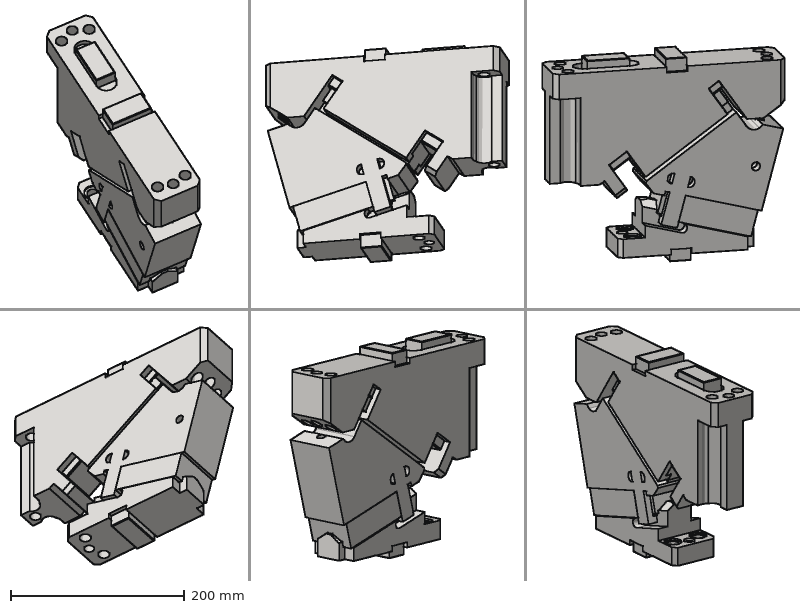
import cadquery as cq
import math

LENGTH = 277.0
WIDTH = 60.0
HALF_WIDTH = WIDTH / 2
TOP_Z = 224.0
PAST = 2.8

SLOPE_ORIGIN = (149.3, 38.5)
SLOPE_ANGLE = -15.0

RAIL_ORIGIN = (110.5, 90.0)
RAIL_ANGLE = 35.0

BOLT_RADIUS = 6.6
BOLT_HEAD_RADIUS = 10.0
BOLT_INSET = 20.0
BOLT_HALF_PITCH = 18.0
DOWEL_RADIUS = 6.5
DOWEL_INSET = 12.2
RIGHT_DOWEL_INSET = 15.5

KEY_LENGTH = 50.5
KEY_WIDTH = 25.0
KEY_HEIGHT = 9.5
KEY_SEAT = 6.5
KEY_CHAMFER = 0.8

HOUSING_FOOT_Z = 89.2
HOUSING_FOOT_RIGHT = 54.3
TAIL_X = 250.0
TAIL_BOTTOM_Z = 156.0
TAIL_END_Z = 174.5
HOUSING_CHAMFER = 6.5
CROSS_KEY_X = 147.0
LONG_KEY_X = 69.5
KEY_POCKET_LENGTH = 77.5
FLANGE_Z = 194.2
WEB_HALF_WIDTH = 11.5
GROOVE_DEPTH = 32.0
GROOVE_BACK_Y = 22.7
LEG_LEFT = -39.0
LEG_RIGHT = -24.0
LEG_BOTTOM = 4.0
LEG_TOP = 31.3
LEG_CHAMFER = (5.5, 4.5)
LOW_SLOT_RIGHT = 2.0
HIGH_SLOT_LEFT = 121.3
HIGH_SLOT_RIGHT = 136.0
HIGH_SLOT_MOUTH = -14.7
SLOT_ROOF = 43.8
BAR_CHAMFER = 1.5
BAR_END_GAP = 1.0

RAIL_END = 130.7
SIDE_GAP = 4.7
NECK_HALF_WIDTH = 15.0
HEAD_HALF_WIDTH = 22.2
HEAD_BOTTOM = 13.5
HEAD_TOP = 31.5
NECK_TOE_HEIGHT = 2.8

SLIDE_RIGHT = 93.3
SLIDE_TOP = 131.9
SLIDE_TOP_LEFT = 68.1
SCOOP_START = -21.0
SCOOP_LOW = (59.5, 123.8)
SCOOP_END = (65.0, 127.1)
NOSE_CORNER = (-2.5, -1.7)
PLATE_LENGTH = 89.0
PLATE_HEIGHT = 32.0
PANEL_RECESS = 0.3
STRAP_LEFT = -20.2
STRAP_RIGHT = -0.5
STRAP_BOTTOM = -7.2
RIB_LEFT = -25.5
RIB_BOTTOM = 3.3
RIB_HALF_WIDTH = 22.2
RIB_TOE = (1.5, 2.5)
BELLY_LEFT = -38.8
BELLY = 27.1
POCKET_CENTER = (-10.5, 48.5)
POCKET_LENGTH = 33.2
POCKET_WIDTH = 12.2
POCKET_DEPTH = 11.0
LIFT_HOLE_S = 72.9
LIFT_HOLE_T = 82.0
LIFT_HOLE_RADIUS = 5.0
LIFT_HOLE_DEPTH = 13.8
DRILL_TIP_ANGLE = 118.0

BASE_LEFT = 77.0
BASE_RIGHT = 231.3
RIDGE_RIGHT = 241.5
BASE_STEP_X = 108.9
BASE_FOOT_Z = 22.5
BASE_TOP_Z = 61.8
BASE_CHAMFER = (5.5, 4.7)
BASE_KEY_X = 152.0
COUNTERBORE_DEPTH = 2.2
BASE_DOWEL_RADIUS = 5.8
DOWEL_RELIEF_DEPTH = 3.0
WAY_GAP = 0.8
RIDGE_HALF_WIDTH = 16.5
RIDGE_TOP = 14.7
RIDGE_FLAT_HALF_WIDTH = 4.0
RIDGE_FLANK_ANGLE = 32.0
NOTCH_FLOOR = -12.0
NOTCH_END = 5.8


def to_world(origin, angle, along, above):
    """World (x, z) of a point given in an inclined frame."""
    a = math.radians(angle)
    x = origin[0] + along * math.cos(a) - above * math.sin(a)
    z = origin[1] + along * math.sin(a) + above * math.cos(a)
    return x, z


def slope(s, t):
    return to_world(SLOPE_ORIGIN, SLOPE_ANGLE, s, t)


def rail(u, v):
    return to_world(RAIL_ORIGIN, RAIL_ANGLE, u, v)


def side_plane(origin=(0, 0), angle=0.0, y=0.0):
    """Plane facing -Y whose local x is turned up by the angle from world X."""
    a = math.radians(angle)
    return cq.Plane((origin[0], y, origin[1]), (math.cos(a), 0, math.sin(a)), (0, -1, 0))


def cross_plane(frame, angle, start, above=0.0):
    """Plane square to an inclined frame: local x is world Y, local y points away from the incline."""
    a = math.radians(angle)
    x, z = frame(start, above)
    return cq.Plane((x, 0, z), (0, 1, 0), (math.cos(a), 0, math.sin(a)))


def slab(points, half_width):
    """Outline in world (x, z), thickened evenly to both sides of y = 0."""
    return cq.Workplane(side_plane()).polyline(points).close().extrude(half_width, both=True)


def frame_box(frame, along, above, half_width):
    """Box between two pairs of limits in an inclined frame, centred on y = 0."""
    low, high = above
    corners = [(along[0], low), (along[1], low), (along[1], high), (along[0], high)]
    return slab([frame(*corner) for corner in corners], half_width)


def both_sides(shape):
    return shape.union(shape.mirror("XZ"))


def outer_layer(shape, inner_half_width):
    """Keeps only the parts of a shape farther than the given distance from y = 0."""
    core = cq.Workplane().box(4 * LENGTH, 2 * inner_half_width, 4 * LENGTH)
    return shape.cut(core)


def round_bar(x, y, radius, z_low, z_high):
    return cq.Workplane("XY", origin=(x, y, z_low)).circle(radius).extrude(z_high - z_low)


def plan_chamfer(x, inward, depths, z_low, z_high):
    """Prisms that bevel both vertical corners of the end face at x."""
    along, across = depths
    y = HALF_WIDTH
    points = [(x, y - across), (x, y), (x + inward * along, y)]
    prism = cq.Workplane("XY", origin=(0, 0, z_low)).polyline(points).close().extrude(z_high - z_low)
    return both_sides(prism)


def drilled_hole(plane, radius, depth):
    """Blind drilled hole with a conical tip, sunk below the plane."""
    tip = radius / math.tan(math.radians(DRILL_TIP_ANGLE / 2))
    profile = [(0, 0), (radius, 0), (radius, -depth), (0, -depth - tip)]
    hole = cq.Workplane("XZ").polyline(profile).close().revolve(360, (0, 0), (0, 1))
    return cq.Workplane(hole.val().moved(cq.Location(plane)))


def key(x, length_x, length_y, z_low, outer_face):
    """Rectangular locating key with its outer edges bevelled."""
    block = cq.Workplane("XY", origin=(x, 0, z_low)).rect(length_x, length_y).extrude(KEY_SEAT + KEY_HEIGHT)
    return block.faces(outer_face).chamfer(KEY_CHAMFER)


def rail_tee(start, end):
    neck = frame_box(rail, (start, end), (0, HEAD_BOTTOM), NECK_HALF_WIDTH)
    head = frame_box(rail, (start, end), (HEAD_BOTTOM, HEAD_TOP), HEAD_HALF_WIDTH)
    return neck.union(head)


def housing_outline():
    outline = [
        (0, TOP_Z),
        (0, HOUSING_FOOT_Z),
        (HOUSING_FOOT_RIGHT, HOUSING_FOOT_Z),
        rail(LEG_LEFT, LEG_TOP),
        rail(LEG_LEFT, LEG_BOTTOM),
        rail(LEG_RIGHT, LEG_BOTTOM),
        rail(LEG_RIGHT, SLOT_ROOF),
        rail(LOW_SLOT_RIGHT, SLOT_ROOF),
        rail(LOW_SLOT_RIGHT, SIDE_GAP),
        rail(HIGH_SLOT_LEFT, SIDE_GAP),
        rail(HIGH_SLOT_LEFT, SLOT_ROOF),
        rail(HIGH_SLOT_RIGHT, SLOT_ROOF),
        rail(HIGH_SLOT_RIGHT, HIGH_SLOT_MOUTH),
        (TAIL_X, TAIL_BOTTOM_Z),
        (LENGTH, TAIL_END_Z),
        (LENGTH, TOP_Z),
    ]
    return slab(outline, HALF_WIDTH)


def slot_bar(start, end):
    """Bar that hangs under the roof of a slot, its lower long edges bevelled."""
    half, bevel = HEAD_HALF_WIDTH, BAR_CHAMFER
    profile = [
        (-half, SLOT_ROOF),
        (-half, HEAD_TOP + bevel),
        (-half + bevel, HEAD_TOP),
        (half - bevel, HEAD_TOP),
        (half, HEAD_TOP + bevel),
        (half, SLOT_ROOF),
    ]
    plane = cross_plane(rail, RAIL_ANGLE, start)
    return cq.Workplane(plane).polyline(profile).close().extrude(end - start)


def bolt_grooves():
    """Open channels under the flange that clear the bolt heads, one on each side of the web."""
    height = FLANGE_Z - HOUSING_FOOT_Z
    floor = cq.Workplane("XY", origin=(0, 0, HOUSING_FOOT_Z))
    outside = HALF_WIDTH + PAST
    head = floor.center(BOLT_INSET, BOLT_HALF_PITCH).circle(BOLT_HEAD_RADIUS).extrude(height)
    back_x = GROOVE_DEPTH - BOLT_HEAD_RADIUS
    back = floor.center(back_x, GROOVE_BACK_Y).circle(BOLT_HEAD_RADIUS).extrude(height)
    flare = floor.box(GROOVE_DEPTH, outside - GROOVE_BACK_Y, height, centered=False)
    flare = flare.translate((0, GROOVE_BACK_Y, 0))
    web_to_bolt = BOLT_HALF_PITCH - WEB_HALF_WIDTH
    mouth_length = BOLT_INSET - math.sqrt(BOLT_HEAD_RADIUS**2 - web_to_bolt**2)
    mouth = floor.box(mouth_length, outside - WEB_HALF_WIDTH, height, centered=False)
    mouth = mouth.translate((0, WEB_HALF_WIDTH, 0))
    return both_sides(mouth.union(head).union(back).union(flare))


def housing_holes():
    holes = cq.Workplane()
    for end, inward, dowel_inset in ((0, 1, DOWEL_INSET), (LENGTH, -1, RIGHT_DOWEL_INSET)):
        holes = holes.add(round_bar(end + inward * dowel_inset, 0, DOWEL_RADIUS, 0, TOP_Z))
        for y in (-BOLT_HALF_PITCH, BOLT_HALF_PITCH):
            holes = holes.add(round_bar(end + inward * BOLT_INSET, y, BOLT_RADIUS, 0, TOP_Z))
    return holes.combine()


def leg_chamfers():
    """Bevels on the two lower end corners of the leg."""
    up, across = LEG_CHAMFER
    plane = cross_plane(rail, RAIL_ANGLE, LEG_LEFT, LEG_BOTTOM)
    points = [(HALF_WIDTH - across, 0), (HALF_WIDTH, 0), (HALF_WIDTH, up)]
    return both_sides(cq.Workplane(plane).polyline(points).close().extrude(LEG_RIGHT - LEG_LEFT))


def make_housing():
    body = housing_outline()
    for x, inward in ((0, 1), (LENGTH, -1)):
        body = body.cut(plan_chamfer(x, inward, (HOUSING_CHAMFER, HOUSING_CHAMFER), 0, TOP_Z))
    body = body.cut(bolt_grooves()).cut(housing_holes()).cut(leg_chamfers())
    body = body.cut(rail_tee(LOW_SLOT_RIGHT - PAST, HIGH_SLOT_LEFT + PAST))
    body = body.union(slot_bar(LEG_RIGHT + BAR_END_GAP, LOW_SLOT_RIGHT))
    body = body.union(slot_bar(HIGH_SLOT_LEFT, HIGH_SLOT_RIGHT))

    seat = cq.Workplane("XY", origin=(0, 0, TOP_Z - KEY_SEAT))
    body = body.cut(seat.center(CROSS_KEY_X, 0).rect(KEY_WIDTH, 4 * HALF_WIDTH).extrude(KEY_SEAT))
    body = body.cut(seat.center(LONG_KEY_X, 0).slot2D(KEY_POCKET_LENGTH, KEY_WIDTH).extrude(KEY_SEAT))
    body = body.union(key(CROSS_KEY_X, KEY_WIDTH, KEY_LENGTH, TOP_Z - KEY_SEAT, ">Z"))
    return body.union(key(LONG_KEY_X, KEY_LENGTH, KEY_WIDTH, TOP_Z - KEY_SEAT, ">Z"))


def slide_outline():
    toe_width, toe_height = RIB_TOE
    sketch = cq.Workplane(side_plane()).moveTo(*rail(0, 0)).lineTo(*rail(RAIL_END, 0))
    sketch = sketch.lineTo(*rail(RAIL_END, SCOOP_START))
    sketch = sketch.threePointArc(slope(*SCOOP_LOW), slope(*SCOOP_END))
    for point in (
        slope(SLIDE_TOP_LEFT, SLIDE_TOP),
        slope(SLIDE_RIGHT, SLIDE_TOP),
        slope(SLIDE_RIGHT, PLATE_HEIGHT),
        slope(PLATE_LENGTH, PLATE_HEIGHT),
        slope(PLATE_LENGTH, 0),
        slope(STRAP_RIGHT, 0),
        slope(STRAP_RIGHT, STRAP_BOTTOM),
        slope(STRAP_LEFT, STRAP_BOTTOM),
        slope(STRAP_LEFT, RIB_BOTTOM - toe_height),
        slope(STRAP_LEFT - toe_width, RIB_BOTTOM - toe_height),
        slope(STRAP_LEFT - toe_width, RIB_BOTTOM),
        slope(RIB_LEFT, RIB_BOTTOM),
        slope(RIB_LEFT, BELLY),
        slope(BELLY_LEFT, BELLY),
        rail(*NOSE_CORNER),
    ):
        sketch = sketch.lineTo(*point)
    return sketch.close().extrude(HALF_WIDTH, both=True)


def ridge(half_width, start, end, bottom):
    """Roof-shaped guide along the slope; a wider one keeps the same sloping flanks."""
    flat = RIDGE_FLAT_HALF_WIDTH
    shoulder = RIDGE_TOP - (half_width - flat) * math.tan(math.radians(RIDGE_FLANK_ANGLE))
    profile = [
        (-half_width, bottom),
        (half_width, bottom),
        (half_width, shoulder),
        (flat, RIDGE_TOP),
        (-flat, RIDGE_TOP),
        (-half_width, shoulder),
    ]
    plane = cross_plane(slope, SLOPE_ANGLE, start)
    return cq.Workplane(plane).polyline(profile).close().extrude(end - start)


def rib_recess():
    """Side recesses left of the straps that leave the narrower rib standing."""
    recess = frame_box(slope, (RIB_LEFT, STRAP_LEFT), (-PAST, PLATE_HEIGHT), 2 * HALF_WIDTH)
    return outer_layer(recess, RIB_HALF_WIDTH)


def strap_pockets():
    """Long round-ended pockets on both sides, bridged flush by the straps."""
    plane = side_plane(slope(*POCKET_CENTER), SLOPE_ANGLE)
    pocket = cq.Workplane(plane).slot2D(POCKET_LENGTH, POCKET_WIDTH).extrude(2 * HALF_WIDTH, both=True)
    strap = frame_box(slope, (STRAP_LEFT, STRAP_RIGHT), (0, SLIDE_TOP), 3 * HALF_WIDTH)
    return outer_layer(pocket.cut(strap), HALF_WIDTH - POCKET_DEPTH)


def lift_holes():
    """Drilled holes in the -Y side and in the upper face of the slide."""
    side = side_plane(slope(LIFT_HOLE_S, LIFT_HOLE_T), SLOPE_ANGLE, -HALF_WIDTH)
    x, z = slope(LIFT_HOLE_S, SLIDE_TOP)
    a = math.radians(SLOPE_ANGLE)
    top = cq.Plane((x, 0, z), (math.cos(a), 0, math.sin(a)), (-math.sin(a), 0, math.cos(a)))
    holes = drilled_hole(side, LIFT_HOLE_RADIUS, LIFT_HOLE_DEPTH)
    return holes.add(drilled_hole(top, LIFT_HOLE_RADIUS, LIFT_HOLE_DEPTH)).combine()


def make_slide():
    body = slide_outline()
    body = body.union(rail_tee(LOW_SLOT_RIGHT, RAIL_END))
    neck_toe = [rail(0, 0), rail(LOW_SLOT_RIGHT, 0), rail(LOW_SLOT_RIGHT, NECK_TOE_HEIGHT)]
    body = body.union(slab(neck_toe, NECK_HALF_WIDTH))
    body = body.cut(ridge(RIDGE_HALF_WIDTH + WAY_GAP, -LENGTH / 2, LENGTH, STRAP_BOTTOM - PAST))
    body = body.cut(rib_recess()).cut(strap_pockets()).cut(lift_holes())
    panel = frame_box(slope, (STRAP_RIGHT, PLATE_LENGTH), (0, PLATE_HEIGHT), 2 * HALF_WIDTH)
    return body.cut(outer_layer(panel, HALF_WIDTH - PANEL_RECESS))


def base_blank():
    """Foot with the notch that clears the strap ends, and the ridge that guides the slide."""
    notch_radius = (-WAY_GAP - NOTCH_FLOOR) / 2
    middle = (NOTCH_FLOOR - WAY_GAP) / 2
    run = LENGTH / 2
    notch = cq.Workplane(side_plane()).moveTo(*slope(-run, NOTCH_FLOOR))
    notch = notch.lineTo(*slope(NOTCH_END, NOTCH_FLOOR))
    notch = notch.threePointArc(slope(NOTCH_END + notch_radius, middle), slope(NOTCH_END, -WAY_GAP))
    notch = notch.lineTo(*slope(run, -WAY_GAP)).lineTo(*slope(run, run)).lineTo(*slope(-run, run))
    notch = notch.close().extrude(2 * HALF_WIDTH, both=True)
    foot = [
        (BASE_LEFT, 0),
        (BASE_RIGHT, 0),
        (BASE_RIGHT, BASE_TOP_Z),
        (BASE_STEP_X, BASE_TOP_Z),
        (BASE_STEP_X, BASE_FOOT_Z),
        (BASE_LEFT, BASE_FOOT_Z),
    ]
    guide_limits = [
        (BASE_STEP_X, 0),
        (RIDGE_RIGHT, 0),
        (RIDGE_RIGHT, BASE_TOP_Z),
        (BASE_STEP_X, BASE_TOP_Z),
    ]
    guide = ridge(RIDGE_HALF_WIDTH, -run, run, -run).intersect(slab(guide_limits, HALF_WIDTH))
    return slab(foot, HALF_WIDTH).cut(notch).union(guide)


def base_holes():
    dowel_x = BASE_LEFT + DOWEL_INSET
    bolt_x = BASE_LEFT + BOLT_INSET
    relief = round_bar(dowel_x, 0, DOWEL_RADIUS, BASE_FOOT_Z - DOWEL_RELIEF_DEPTH, BASE_FOOT_Z)
    holes = round_bar(dowel_x, 0, BASE_DOWEL_RADIUS, 0, BASE_FOOT_Z).union(relief)
    for y in (-BOLT_HALF_PITCH, BOLT_HALF_PITCH):
        holes = holes.union(round_bar(bolt_x, y, BOLT_RADIUS, 0, BASE_FOOT_Z))
        sink = round_bar(bolt_x, y, BOLT_HEAD_RADIUS, BASE_FOOT_Z - COUNTERBORE_DEPTH, BASE_FOOT_Z)
        holes = holes.union(sink)
    return holes


def make_base():
    body = base_blank().cut(base_holes())
    body = body.cut(plan_chamfer(BASE_LEFT, 1, BASE_CHAMFER, 0, BASE_TOP_Z))
    seat = cq.Workplane("XY", origin=(BASE_KEY_X, 0, 0)).rect(KEY_WIDTH, 4 * HALF_WIDTH).extrude(KEY_SEAT)
    return body.cut(seat).union(key(BASE_KEY_X, KEY_WIDTH, KEY_LENGTH, -KEY_HEIGHT, "<Z"))


housing = make_housing()
slide = make_slide()
base = make_base()

result = cq.Compound.makeCompound([*housing.vals(), *slide.vals(), *base.vals()])